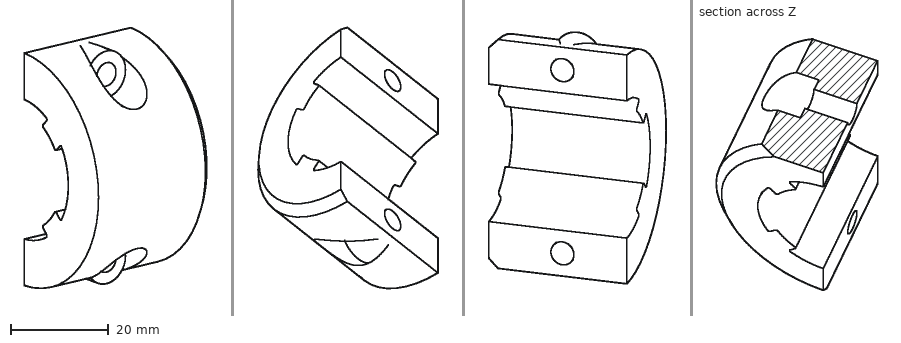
import cadquery as cq
import math

OUTER_RADIUS = 25.0
BORE_RADIUS = 15.0
LENGTH = 30.0
SPLIT_OFFSET = 0.5
RIM_CHAMFER = 2.0

KEY_TIP_RADIUS = 12.5
KEY_WIDTH = 6.2
KEY_ANGLES = (45.0, -45.0)
KEY_FILLET = 0.4

SCREW_HEIGHT = 20.0
SCREW_Y = 14.0
SCREW_HOLE_DIAMETER = 5.0
HEAD_DIAMETER = 10.0
HEAD_SEAT_X = 10.0


def make_collar():
    """Full ring with its outer rim chamfered at the +Y end."""
    ring_profile = (
        cq.Workplane("XY")
        .moveTo(BORE_RADIUS, 0)
        .lineTo(OUTER_RADIUS, 0)
        .lineTo(OUTER_RADIUS, LENGTH - RIM_CHAMFER)
        .lineTo(OUTER_RADIUS - RIM_CHAMFER, LENGTH)
        .lineTo(BORE_RADIUS, LENGTH)
        .close()
    )
    return ring_profile.revolve(360, (0, 0, 0), (0, 1, 0))


def make_key(angle):
    """Key with a tip concentric to the bore, rooted inside the ring wall."""
    root = (BORE_RADIUS + OUTER_RADIUS) / 2
    half_width = KEY_WIDTH / 2
    tip_edge = math.sqrt(KEY_TIP_RADIUS**2 - half_width**2)
    return (
        cq.Workplane("XZ")
        .moveTo(root, -half_width)
        .lineTo(tip_edge, -half_width)
        .threePointArc((KEY_TIP_RADIUS, 0), (tip_edge, half_width))
        .lineTo(root, half_width)
        .close()
        .extrude(-LENGTH)
        .rotate((0, 0, 0), (0, 1, 0), -angle)
    )


def key_edge_finder(angle, radius, side):
    """Small box around the midpoint of one lengthwise key edge."""
    edge_angle = math.radians(angle) + side * math.asin(KEY_WIDTH / 2 / radius)
    x = radius * math.cos(edge_angle)
    z = radius * math.sin(edge_angle)
    reach = KEY_FILLET / 2
    middle = LENGTH / 2
    return cq.selectors.BoxSelector(
        (x - reach, middle - reach, z - reach),
        (x + reach, middle + reach, z + reach),
    )


def add_keys(body):
    """Join the keys and round their tip and root edges."""
    for angle in KEY_ANGLES:
        body = body.union(make_key(angle))
    for angle in KEY_ANGLES:
        for radius in (KEY_TIP_RADIUS, BORE_RADIUS):
            for side in (-1, 1):
                finder = key_edge_finder(angle, radius, side)
                body = body.edges(finder).fillet(KEY_FILLET)
    return body


def split(body):
    """Keep the part of the body on the +X side of the split face."""
    keep = cq.Workplane("XY").box(
        OUTER_RADIUS, LENGTH, 2 * OUTER_RADIUS, centered=(False, False, True)
    )
    return body.intersect(keep.translate((SPLIT_OFFSET, 0, 0)))


def screw_cylinder(height, diameter, start_x, end_x):
    """Cylinder on a screw axis between two X positions."""
    return (
        cq.Workplane("YZ", origin=(start_x, SCREW_Y, height))
        .circle(diameter / 2)
        .extrude(end_x - start_x)
    )


def add_screw(body, height):
    """Boss up to the head seat, head recess beyond it, and a through hole."""
    boss = screw_cylinder(height, HEAD_DIAMETER, SPLIT_OFFSET, HEAD_SEAT_X)
    recess = screw_cylinder(height, HEAD_DIAMETER, HEAD_SEAT_X, OUTER_RADIUS)
    hole = screw_cylinder(height, SCREW_HOLE_DIAMETER, SPLIT_OFFSET, OUTER_RADIUS)
    return body.union(boss).cut(recess).cut(hole)


half_collar = split(add_keys(make_collar()))
for screw_height in (SCREW_HEIGHT, -SCREW_HEIGHT):
    half_collar = add_screw(half_collar, screw_height)

result = half_collar